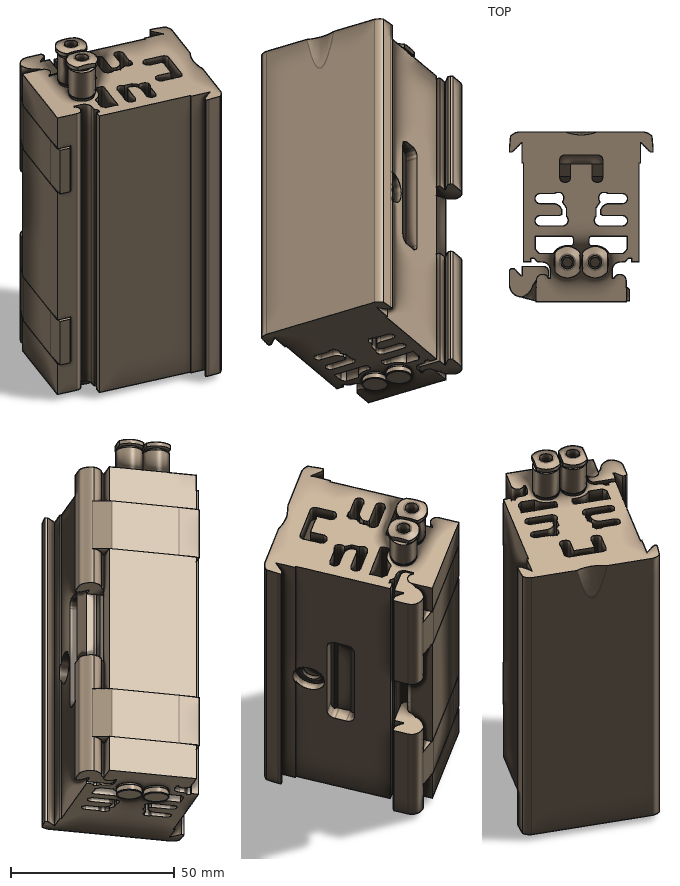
import cadquery as cq
import math

LENGTH = 100.0
HALF_FLANGE = 22.0
TOP = 52.0
FLANGE_SLOPE_START = 46.9
FLANGE_SHOULDER_X = 21.7
FLANGE_SHOULDER_Y = 50.8
FLANGE_CROWN_X = 19.2
HALF_SHOULDER = 18.2
HALF_BODY = 17.7
SHOULDER_Y = 42.5
FLANGE_TIP_Y = 45.9
FLANGE_ROOT_Y = 48.8
WALL_BOTTOM = 12.3
GROOVE_TOP = 13.3
GROOVE_OUTER_X = 15.4
HALF_BASE = 13.8
SOCKET_FLOOR = 7.3
HALF_NECK = 9.5

LIP_RADIUS = 2.0
LIP_X = HALF_BASE - LIP_RADIUS
LIP_Y = 6.5

JAW_LENGTH = 38.1
TONGUE_WIDTH = 15.8
JAW_Z_CENTRES = (JAW_LENGTH / 2, LENGTH - JAW_LENGTH / 2)
JAW_RADIUS = 3.8
JAW_BOTTOM = 1.5
JAW_HOOK_RADIUS = 1.6
TONGUE_TOP = 4.4
TONGUE_TIP_X = 14.8
TONGUE_TIP_BOTTOM = 0.3

PORT_SPACING = 8.5
PORT_X = PORT_SPACING / 2
PORT_Y = 12.2
FITTING_COLLAR_D = 7.8
FITTING_BODY_D = 8.3
FITTING_NECK_D = 6.0
FITTING_FLANGE_D = 9.6
FITTING_FLANGE_WIDTH = 7.6
FITTING_LIP_D = 5.0
FITTING_BORE_D = 4.0
FITTING_PASSAGE_D = 3.0
FITTING_BORE_DEPTH = 7.0
FITTING_PASSAGE_DEPTH = 13.9
FITTING_HEIGHT = 13.5
SEAT_DEPTH = 9.3
PLUG_D = 7.8
PLUG_RIM_D = 8.0
PLUG_RIM_GAP = 0.6
PLUG_HEIGHT = 2.4
PLUG_CHAMFER = 0.2

SCREW_Y = 38.4
SCREW_Z = 48.1
COUNTERBORE_D = 10.0
COUNTERBORE_DEPTH = 2.5
SCREW_D = 8.0
SCREW_LENGTH = 7.0
SCREW_SOCKET_D = 6.0
SCREW_SOCKET_DEPTH = 1.4
SCREW_DOME_HEIGHT = 0.9

WINDOW_Y = 28.2
WINDOW_WIDTH = 8.7
WINDOW_LENGTH = 35.9
WINDOW_RADIUS = 2.5
WINDOW_DEPTH = 4.3

POCKET_HALF_WIDTH = 6.6
POCKET_ARM_WIDTH = 3.4
POCKET_TOP = 45.0
POCKET_BAR_BOTTOM = 42.3
POCKET_RAMP_START = 38.4
POCKET_BOTTOM = 36.6
POCKET_CORNER_RADIUS = 1.5
POCKET_BAR_DEPTH = 5.8
POCKET_ARM_DEPTH = 8.1
POCKET_RAMP_DEPTH = 16.2

DIP_RADIUS = 13.0
DIP_DEPTH = 0.9
DIP_LENGTH = 11.6


def mirrored(solid):
    """The solid together with its mirror image about X = 0."""
    return solid.union(solid.mirror("YZ"))


def extruded(outline, z_start, height):
    return outline.extrude(height).translate((0, 0, z_start))


def cylinder(diameter, z_start, z_end):
    return cq.Workplane("XY").workplane(offset=z_start).circle(diameter / 2).extrude(z_end - z_start)


def half_section():
    """The +X half of the housing section, with the socket below the side wall."""
    lip_end_x = LIP_X - math.sqrt(LIP_RADIUS**2 - (SOCKET_FLOOR - LIP_Y) ** 2)
    return (
        cq.Workplane("XY")
        .moveTo(0, 0)
        .lineTo(HALF_BASE, 0)
        .lineTo(HALF_BASE, LIP_Y)
        .threePointArc((LIP_X, LIP_Y + LIP_RADIUS), (lip_end_x, SOCKET_FLOOR))
        .lineTo(HALF_NECK, SOCKET_FLOOR)
        .lineTo(HALF_NECK, 10.0)
        .threePointArc((10.2, 11.5), (11.7, 12.2))
        .lineTo(13.5, WALL_BOTTOM)
        .lineTo(14.4, GROOVE_TOP)
        .lineTo(GROOVE_OUTER_X, GROOVE_TOP)
        .lineTo(GROOVE_OUTER_X, WALL_BOTTOM)
        .lineTo(HALF_BODY, WALL_BOTTOM)
        .lineTo(HALF_BODY, SHOULDER_Y)
        .lineTo(HALF_SHOULDER, SHOULDER_Y)
        .lineTo(HALF_SHOULDER, FLANGE_ROOT_Y)
        .lineTo(20.7, 46.2)
        .lineTo(21.2, FLANGE_TIP_Y)
        .lineTo(HALF_FLANGE, FLANGE_TIP_Y)
        .lineTo(HALF_FLANGE, FLANGE_SLOPE_START)
        .lineTo(FLANGE_SHOULDER_X, FLANGE_SHOULDER_Y)
        .threePointArc((20.6, 51.6), (FLANGE_CROWN_X, TOP))
        .lineTo(0, TOP)
        .close()
    )


def finger_cavity():
    """Through cavity with two round-ended fingers joined by a narrow passage."""
    return (
        cq.Workplane("XY")
        .moveTo(12.6, 33.1)
        .lineTo(8.2, 33.1)
        .lineTo(7.6, 33.5)
        .lineTo(6.3, 33.5)
        .threePointArc((5.5, 32.3), (5.8, 30.6))
        .lineTo(4.5, 28.7)
        .lineTo(4.5, 26.2)
        .threePointArc((4.2, 24.3), (5.6, 23.3))
        .lineTo(12.6, 23.3)
        .threePointArc((14.1, 24.9), (12.6, 26.4))
        .lineTo(6.6, 26.4)
        .lineTo(5.9, 26.8)
        .lineTo(5.9, 28.2)
        .threePointArc((7.0, 29.5), (8.5, 30.1))
        .lineTo(12.6, 30.1)
        .threePointArc((14.1, 31.6), (12.6, 33.1))
        .close()
    )


def port_cavity():
    """Through cavity beside the port, its lower edge following a wall around the port."""
    wall_radius = 5.1
    floor = 14.8
    arc_start_x = PORT_X + math.sqrt(wall_radius**2 - (floor - PORT_Y) ** 2)
    arc_mid = wall_radius * math.sqrt(0.5)
    outer_x = 14.0
    inner_x = 2.4
    top = 20.0
    end_radius = 0.7
    return (
        cq.Workplane("XY")
        .moveTo(outer_x, top)
        .lineTo(outer_x, 16.1)
        .lineTo(12.9, floor)
        .lineTo(arc_start_x, floor)
        .threePointArc(
            (PORT_X + arc_mid, PORT_Y + arc_mid),
            (PORT_X, PORT_Y + wall_radius),
        )
        .lineTo(inner_x, PORT_Y + wall_radius)
        .lineTo(inner_x, top)
        .close()
        .extrude(LENGTH)
        .edges("|Z and <X")
        .fillet(end_radius)
    )


def u_pocket():
    """Pocket in the top end: a shallow bar and two deeper arms with steep end ramps."""
    bar = cq.Workplane("XY").box(
        2 * POCKET_HALF_WIDTH,
        POCKET_TOP - POCKET_BAR_BOTTOM,
        POCKET_BAR_DEPTH,
        centered=(True, False, False),
    )
    bar = bar.translate((0, POCKET_BAR_BOTTOM, LENGTH - POCKET_BAR_DEPTH))
    bar = bar.edges("|Z and >Y").fillet(POCKET_CORNER_RADIUS)
    arm_inner_x = POCKET_HALF_WIDTH - POCKET_ARM_WIDTH
    arm = (
        cq.Workplane("YZ", origin=(arm_inner_x, 0, LENGTH))
        .moveTo(POCKET_BAR_BOTTOM, 0)
        .lineTo(POCKET_BAR_BOTTOM, -POCKET_ARM_DEPTH)
        .lineTo(POCKET_RAMP_START, -POCKET_ARM_DEPTH)
        .lineTo(POCKET_BOTTOM, -POCKET_RAMP_DEPTH)
        .lineTo(POCKET_BOTTOM, 0)
        .close()
        .extrude(POCKET_ARM_WIDTH)
        .edges("|Z and <Y")
        .fillet(POCKET_CORNER_RADIUS)
    )
    return bar.union(mirrored(arm))


def finger_dip():
    """Tapered dip in the +Y face, deepest at the top end."""
    return cq.Workplane(
        cq.Solid.makeCone(
            DIP_RADIUS - DIP_DEPTH,
            DIP_RADIUS,
            DIP_LENGTH,
            cq.Vector(0, TOP - DIP_DEPTH + DIP_RADIUS, LENGTH - DIP_LENGTH),
            cq.Vector(0, 0, 1),
        )
    )


def wall_window():
    """Rounded window through the -X wall into the finger cavity."""
    window = cq.Workplane("XY").box(
        WINDOW_DEPTH, WINDOW_WIDTH, WINDOW_LENGTH, centered=(False, True, True)
    )
    window = window.edges("|X").fillet(WINDOW_RADIUS)
    return window.translate((-HALF_BODY, WINDOW_Y, LENGTH / 2))


def screw_bore():
    """Counterbore and screw seat, sunk into the -X wall."""
    face = cq.Workplane("YZ", origin=(-HALF_SHOULDER, SCREW_Y, SCREW_Z))
    outer_depth = COUNTERBORE_DEPTH + HALF_SHOULDER - HALF_BODY
    counterbore = face.circle(COUNTERBORE_D / 2).extrude(outer_depth)
    seat = face.circle(SCREW_D / 2).extrude(outer_depth + SCREW_LENGTH)
    return counterbore.union(seat)


def tongue_outline():
    """Tongue section below the base, from the wedge under the jaw to the chamfered tip."""
    chamfer = 0.7
    root_top = LIP_Y - chamfer
    root_x = -15.1
    return (
        cq.Workplane("XY")
        .moveTo(-19.0, 1.6)
        .lineTo(-12.9, 0)
        .lineTo(8.2, 0)
        .lineTo(TONGUE_TIP_X, TONGUE_TIP_BOTTOM)
        .lineTo(TONGUE_TIP_X, TONGUE_TOP - chamfer)
        .lineTo(TONGUE_TIP_X - chamfer, TONGUE_TOP)
        .lineTo(-HALF_BASE, TONGUE_TOP)
        .lineTo(-HALF_BASE, root_top)
        .lineTo(root_x, root_top)
        .close()
    )


def tongue_slot(z_centre):
    """Slot across the base, open to Y = 0, for one tongue."""
    slot = cq.Workplane("XY").box(
        2 * HALF_FLANGE, TONGUE_TOP, TONGUE_WIDTH, centered=(True, False, True)
    )
    return slot.translate((0, 0, z_centre))


def make_housing():
    housing = mirrored(half_section().extrude(LENGTH))
    housing = housing.cut(mirrored(finger_cavity().extrude(LENGTH)))
    housing = housing.cut(mirrored(port_cavity()))
    housing = housing.cut(u_pocket()).cut(finger_dip())
    housing = housing.cut(wall_window()).cut(screw_bore())
    for z_centre in JAW_Z_CENTRES:
        housing = housing.cut(tongue_slot(z_centre))
    for x in (-PORT_X, PORT_X):
        fitting_seat = cylinder(FITTING_COLLAR_D, LENGTH - SEAT_DEPTH, LENGTH)
        plug_seat = cylinder(PLUG_D, 0, SEAT_DEPTH)
        housing = housing.cut(fitting_seat.union(plug_seat).translate((x, PORT_Y, 0)))
    return housing


def make_jaw(z_centre):
    """Jaw that hooks over the -X lip, with a tongue reaching across the base."""
    arc_mid = JAW_RADIUS * math.sqrt(0.5)
    arc_x = -HALF_FLANGE + JAW_RADIUS
    arc_y = JAW_BOTTOM + JAW_RADIUS
    lip_mid = LIP_RADIUS * math.sqrt(0.5)
    hook_x = -10.0
    hook_top = 10.9
    hook_mid = JAW_HOOK_RADIUS * (1 - math.sqrt(0.5))
    section = (
        cq.Workplane("XY")
        .moveTo(arc_x, JAW_BOTTOM)
        .threePointArc((arc_x - arc_mid, arc_y - arc_mid), (-HALF_FLANGE, arc_y))
        .lineTo(-HALF_FLANGE, 9.7)
        .lineTo(-21.4, 10.2)
        .lineTo(-20.5, 10.2)
        .lineTo(-18.4, 8.0)
        .lineTo(-18.1, 8.0)
        .lineTo(-18.1, hook_top)
        .lineTo(hook_x - JAW_HOOK_RADIUS, hook_top)
        .threePointArc((hook_x - hook_mid, hook_top - hook_mid), (hook_x, hook_top - JAW_HOOK_RADIUS))
        .lineTo(hook_x, LIP_Y + lip_mid)
        .lineTo(-LIP_X + lip_mid, LIP_Y + lip_mid)
        .threePointArc((-LIP_X, LIP_Y + LIP_RADIUS), (-HALF_BASE, LIP_Y))
        .lineTo(-14.8, 5.1)
        .threePointArc((-16.0, 2.9), (arc_x, JAW_BOTTOM))
        .close()
    )
    jaw = extruded(section, z_centre - JAW_LENGTH / 2, JAW_LENGTH)
    tongue = extruded(tongue_outline(), z_centre - TONGUE_WIDTH / 2, TONGUE_WIDTH)
    return jaw.union(tongue)


def make_fitting(x):
    """Push-in fitting seated in the top end, with a flat-sided release flange."""
    body_start = 0.9
    body_end = 10.4
    flange_start = 11.5
    flange_rim = 12.7
    collar = cylinder(FITTING_COLLAR_D, -SEAT_DEPTH, body_start)
    body = cylinder(FITTING_BODY_D, body_start, body_end)
    neck = cylinder(FITTING_NECK_D, body_end, flange_start)
    flange = (
        cq.Workplane("XZ")
        .moveTo(0, flange_start)
        .lineTo(FITTING_FLANGE_D / 2, flange_start)
        .lineTo(FITTING_FLANGE_D / 2, flange_rim)
        .lineTo(FITTING_LIP_D / 2, FITTING_HEIGHT)
        .lineTo(0, FITTING_HEIGHT)
        .close()
        .revolve(360, (0, 0, 0), (0, 1, 0))
    )
    flats = cq.Workplane("XY").box(FITTING_FLANGE_WIDTH, FITTING_FLANGE_D, 2 * FITTING_HEIGHT)
    fitting = collar.union(body).union(neck).union(flange.intersect(flats))
    fitting = fitting.cut(cylinder(FITTING_BORE_D, FITTING_HEIGHT - FITTING_BORE_DEPTH, FITTING_HEIGHT))
    passage = cylinder(FITTING_PASSAGE_D, FITTING_HEIGHT - FITTING_PASSAGE_DEPTH, FITTING_HEIGHT)
    return fitting.cut(passage).translate((x, PORT_Y, LENGTH))


def make_plug(x):
    """Plug seated in the bottom end, with a wider chamfered rim outside the housing."""
    rim = cylinder(PLUG_RIM_D, -PLUG_HEIGHT, -PLUG_RIM_GAP).faces("<Z").chamfer(PLUG_CHAMFER)
    return rim.union(cylinder(PLUG_D, -PLUG_RIM_GAP, SEAT_DEPTH)).translate((x, PORT_Y, 0))


def make_screw():
    """Screw on the counterbore floor, its round socket having a domed floor."""
    radius = SCREW_SOCKET_D / 2
    floor = SCREW_LENGTH - SCREW_SOCKET_DEPTH
    dome_radius = (radius**2 + SCREW_DOME_HEIGHT**2) / (2 * SCREW_DOME_HEIGHT)
    dome_centre = floor + SCREW_DOME_HEIGHT - dome_radius
    dome_mid = (radius / 2, dome_centre + math.sqrt(dome_radius**2 - radius**2 / 4))
    profile = (
        cq.Workplane("XY")
        .moveTo(0, 0)
        .lineTo(SCREW_D / 2, 0)
        .lineTo(SCREW_D / 2, SCREW_LENGTH)
        .lineTo(radius, SCREW_LENGTH)
        .lineTo(radius, floor)
        .threePointArc(dome_mid, (0, floor + SCREW_DOME_HEIGHT))
        .close()
    )
    screw = profile.revolve(360, (0, 0, 0), (0, 1, 0)).rotate((0, 0, 0), (0, 0, 1), 90)
    seat_x = -HALF_BODY + COUNTERBORE_DEPTH + SCREW_LENGTH
    return screw.translate((seat_x, SCREW_Y, SCREW_Z))


housing = make_housing()
jaws = [make_jaw(z_centre) for z_centre in JAW_Z_CENTRES]
fittings = [make_fitting(x) for x in (-PORT_X, PORT_X)]
plugs = [make_plug(x) for x in (-PORT_X, PORT_X)]
screw = make_screw()

bodies = [housing, *jaws, *fittings, *plugs, screw]
result = cq.Compound.makeCompound([body.val() for body in bodies])